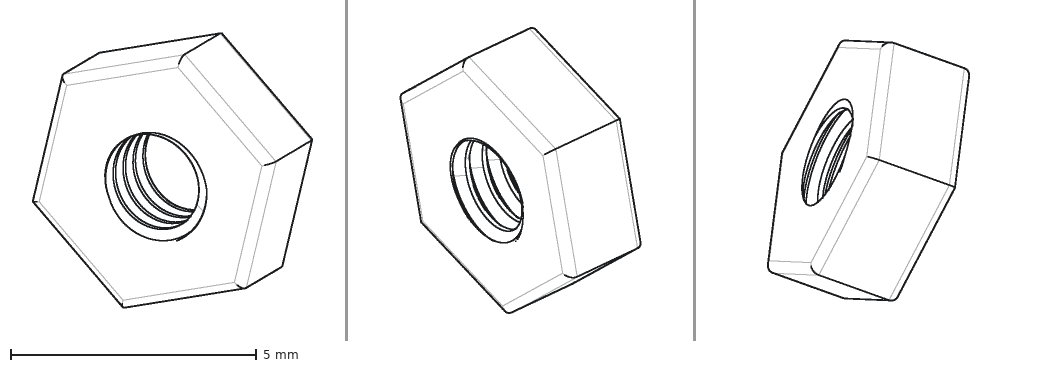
import cadquery as cq
import math

height = 5.61
thickness = 2.0
corner_angle = 16.3
edge_radius = 0.2
corner_radius = height / 2 / math.sin(math.radians(corner_angle + 60))

crest_diameter = 2.075
root_diameter = 2.58
pitch = 0.45
crest_flat = pitch / 4
root_flat = pitch / 8
root_angle = -20.0
cutter_overlap = 0.03


def make_body():
    """Hexagonal prism with rounded end edges and a plain bore, axis along Z."""
    body = (
        cq.Workplane("XY")
        .polygon(6, 2 * corner_radius)
        .extrude(thickness / 2, both=True)
        .rotate((0, 0, 0), (0, 0, 1), corner_angle)
    )
    body = body.faces("|Z").edges().fillet(edge_radius)
    bore = cq.Workplane("XY").circle(crest_diameter / 2).extrude(thickness, both=True)
    return body.cut(bore)


def make_groove_turn():
    """One turn of the trapezoidal groove along Z, starting on the X axis at Z = 0."""
    crest_radius = crest_diameter / 2
    root_radius = root_diameter / 2

    mouth_half = (pitch - crest_flat) / 2
    root_half = root_flat / 2
    flank_slope = (mouth_half - root_half) / (root_radius - crest_radius)
    inner_radius = crest_radius - cutter_overlap
    inner_half = mouth_half + flank_slope * cutter_overlap

    path = cq.Wire.makeHelix(pitch, pitch, crest_radius)
    return (
        cq.Workplane("XZ")
        .polyline([
            (inner_radius, -inner_half),
            (root_radius, -root_half),
            (root_radius, root_half),
            (inner_radius, inner_half),
        ])
        .close()
        .sweep(cq.Workplane(obj=path), isFrenet=True)
        .rotate((0, 0, 0), (0, 0, 1), root_angle)
    )


def cut_thread(body):
    """Cut the groove turn by turn, from the +Z face until it has run out past the -Z face."""
    groove_turn = make_groove_turn()
    turn_count = math.ceil(thickness / pitch) + 2
    for turn in range(turn_count):
        start_z = thickness / 2 - turn * pitch
        body = body.cut(groove_turn.translate((0, 0, start_z)))
    return body


nut = cut_thread(make_body())
result = nut.rotate((0, 0, 0), (1, 0, 0), 90)